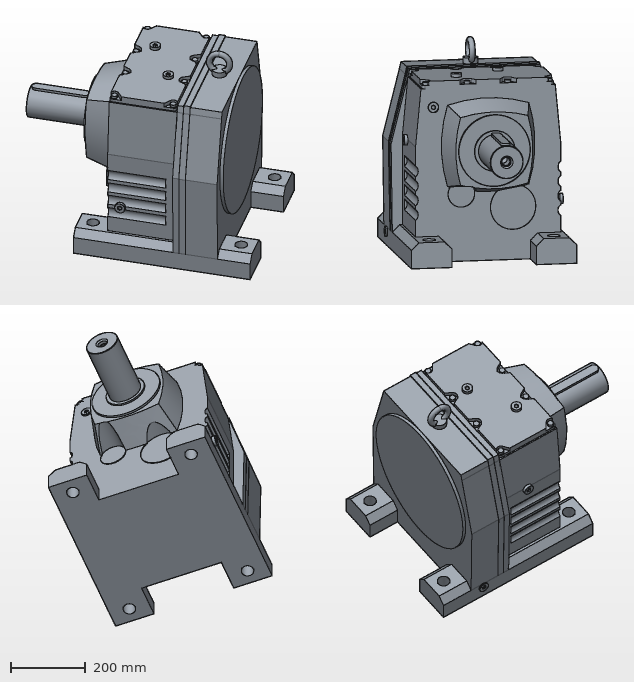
import cadquery as cq
import math


total_length = 670.0
shaft_height = 315.0

shaft_radius = 45.0
shaft_chamfer = 1.5
shaft_length = 169.5
collar_radius = 55.0
collar_length = 5.0
centre_sink_radius = 17.0
centre_sink_depth = 4.0
centre_relief_radius = 13.0
centre_relief_depth = 13.0
centre_drill_radius = 11.0
centre_drill_depth = 50.0
centre_tip_depth = 56.0
key_width = 25.0
key_length = 160.0
key_start = 5.0
key_rise = 5.5

foot_front = 180.0
foot_width = 110.5
foot_height = 70.5
foot_chamfer = 20.0
foot_outer_side = 225.0
foot_hole_diameter = 33.5
foot_hole_inset = 39.5

case_front = 268.0
case_half_width = 197.5
shoulder_height = 472.5
shoulder_half_width = 183.0
top_half_width = 178.0

flange_front = 456.0
flange_rear = 579.5
flange_knee_height = 291.0
flange_knee_half_width = 228.5
flange_top = 491.0
band_start = 474.0
band_width = 18.0
band_side_step = 1.0
band_top_step = 3.5
rear_disc_thickness = 9.5

cover_top = 492.5
cover_gap = 4.0
cover_half_width = 179.0
cover_corner_radius = 7.0
pocket_depth = 11.5
side_pocket_radius = 14.0
corner_pocket_radius = 11.5
pocket_mouth_half = 22.0
screw_inset = 11.0
screw_row = 55.0
screw_radius = 8.0
screw_height = 7.5

boss_front = foot_front
boss_root_corner = 110.5
boss_root_bulge = 127.0
boss_face_corner = 92.0
boss_face_bulge = 104.5
boss_disc_radius = 97.0
boss_disc_thickness = boss_front - shaft_length - collar_length

cap_thickness = 2.0
bearing_caps = [(73.0, 183.5, 36.0), (-68.0, 144.0, 61.5)]

groove_count = 4
groove_pitch = 39.5
groove_width = 29.0
groove_depth = 7.5
groove_end = 429.0
lowest_groove = 130.0

plug_radius = 14.0
plug_socket_width = 12.0
plug_socket_depth = 3.5
plug_height = 9.0
face_plug_height = 4.0
flange_plug_height = 4.0
side_plug_gap = 3.0
side_plug_places = [(378.0, shaft_height, 1), (304.0, 155.0, -1)]

eye_x = 524.0
eye_ring_radius = 28.0
eye_tube_radius = 8.0
eye_height = 526.0
eye_base_radius = 20.0
eye_base_height = 16.0


def mirrored_prism(half_outline, x_start, x_end):
    """Extrude along X the closed outline made of (y, z) points and their mirror."""
    outline = half_outline + [(-y, z) for y, z in reversed(half_outline)]
    return cq.Workplane("YZ", origin=(x_start, 0, 0)).polyline(outline).close().extrude(x_end - x_start)


def disc_along_x(x_start, x_end, y, z, radius):
    return cq.Workplane("YZ", origin=(x_start, y, z)).circle(radius).extrude(x_end - x_start)


def foot(side):
    length = total_length - foot_front
    middle_y = side * (foot_outer_side - foot_width / 2)
    block = (
        cq.Workplane("XY", origin=(foot_front + length / 2, middle_y, 0))
        .box(length, foot_width, foot_height, centered=(True, True, False))
        .edges("|X and >Z").chamfer(foot_chamfer)
    )
    holes = (
        cq.Workplane("XY", origin=(foot_front + length / 2, middle_y, 0))
        .rarray(length - 2 * foot_hole_inset, 7, 2, 1)
        .circle(foot_hole_diameter / 2).extrude(foot_height)
    )
    return block.cut(holes)


def gear_case():
    return mirrored_prism(
        [(case_half_width, 0), (case_half_width, shaft_height), (shoulder_half_width, shoulder_height)],
        case_front, flange_front,
    )


def cooling_grooves(side):
    """Grooves of circular-arc section, open at the front of the case."""
    half = groove_width / 2
    radius = (half ** 2 + groove_depth ** 2) / (2 * groove_depth)
    axis_y = side * (case_half_width - groove_depth + radius)
    grooves = cq.Workplane("XY")
    for i in range(groove_count):
        z = lowest_groove + i * groove_pitch
        grooves = grooves.union(disc_along_x(case_front, groove_end, axis_y, z, radius))
    return grooves


def flange_section(x_start, x_end, side_step, top_step):
    return mirrored_prism(
        [
            (foot_outer_side, 0),
            (foot_outer_side, foot_height - foot_chamfer),
            (flange_knee_half_width + side_step, flange_knee_height),
            (shoulder_half_width + side_step, shoulder_height),
            (top_half_width + side_step, flange_top + top_step),
        ],
        x_start, x_end,
    )


def rear_flange():
    plate = flange_section(flange_front, flange_rear, 0, 0)
    band = flange_section(band_start, band_start + band_width, band_side_step, band_top_step)
    disc = disc_along_x(
        flange_rear, flange_rear + rear_disc_thickness,
        0, flange_knee_height, flange_top - flange_knee_height,
    )
    return plate.union(band).union(disc)


def pocket_outline(mouth_distance, radius):
    """Teardrop around the origin: round at the screw, flaring to a mouth on the -X side."""
    reach = math.hypot(mouth_distance, pocket_mouth_half)
    touch_angle = math.atan2(pocket_mouth_half, -mouth_distance) - math.acos(radius / reach)
    touch_x = radius * math.cos(touch_angle)
    touch_y = radius * math.sin(touch_angle)
    return (
        cq.Workplane("XY")
        .moveTo(-mouth_distance, -pocket_mouth_half)
        .lineTo(touch_x, -touch_y)
        .threePointArc((radius, 0), (touch_x, touch_y))
        .lineTo(-mouth_distance, pocket_mouth_half)
        .close()
    )


def screw_pocket(x, y, mouth_direction, radius):
    """Pocket whose mouth points along mouth_direction, an angle in degrees from +X."""
    return (
        pocket_outline(screw_inset, radius).extrude(pocket_depth)
        .rotate((0, 0, 0), (0, 0, 1), mouth_direction - 180)
        .translate((x, y, cover_top - pocket_depth))
    )


def top_cover():
    cover_length = flange_front - cover_gap - case_front
    cover = (
        cq.Workplane("XY", origin=(case_front, 0, shoulder_height))
        .box(cover_length, 2 * cover_half_width, cover_top - shoulder_height, centered=(False, True, False))
        .edges("|Z").fillet(cover_corner_radius)
    )
    front_x = case_front + screw_inset
    rear_x = case_front + cover_length - screw_inset
    corner_y = cover_half_width - screw_inset

    for x, mouth_direction in ((front_x, 180), (rear_x, 0)):
        for side in (-1, 1):
            cover = cover.cut(screw_pocket(x, side * screw_row, mouth_direction, side_pocket_radius))
            cover = cover.cut(screw_pocket(x, side * corner_y, side * 90, corner_pocket_radius))

    screw_places = [(x, y) for x in (front_x, rear_x) for y in (-corner_y, -screw_row, screw_row, corner_y)]
    screws = (
        cq.Workplane("XY", origin=(0, 0, cover_top - pocket_depth))
        .pushPoints(screw_places).circle(screw_radius).extrude(screw_height)
    )
    return cover.union(screws)


def bulged_square(workplane, corner, bulge):
    """Square with corners at +-corner whose sides bow out to +-bulge."""
    return (
        workplane.moveTo(-corner, -corner)
        .threePointArc((0, -bulge), (corner, -corner))
        .threePointArc((bulge, 0), (corner, corner))
        .threePointArc((0, bulge), (-corner, corner))
        .threePointArc((-bulge, 0), (-corner, -corner))
        .close()
    )


def shaft_boss():
    face = cq.Workplane("YZ", origin=(boss_front, 0, shaft_height))
    root = bulged_square(face, boss_face_corner, boss_face_bulge).workplane(offset=case_front - boss_front)
    boss = bulged_square(root, boss_root_corner, boss_root_bulge).loft(ruled=True)
    disc = disc_along_x(boss_front - boss_disc_thickness, boss_front, 0, shaft_height, boss_disc_radius)
    boss = boss.union(disc)
    for y, z, radius in bearing_caps:
        boss = boss.cut(disc_along_x(boss_front, case_front, y, z, radius))
        boss = boss.union(disc_along_x(case_front - cap_thickness, case_front, y, z, radius))
    return boss


def plug(seat, direction, height):
    """Round plug with a hexagon socket, standing on seat and pointing along direction."""
    base = cq.Workplane(cq.Plane(origin=seat, normal=direction))
    head = base.circle(plug_radius).extrude(height)
    socket = base.workplane(offset=height - plug_socket_depth).polygon(6, plug_socket_width)
    return head.cut(socket.extrude(plug_socket_depth))


def fixed_plugs():
    """Plugs seated on the cover, on the front of the case and on the left side of the flange."""
    return [
        plug((325.0, 76.0, cover_top), (0, 0, 1), plug_height),
        plug((396.0, -51.0, cover_top), (0, 0, 1), plug_height),
        plug((case_front, 149.5, 421.5), (-1, 0, 0), face_plug_height),
        plug((539.5, foot_outer_side, 37.5), (0, 1, 0), flange_plug_height),
    ]


def lifting_eye():
    base = (
        cq.Workplane("XY", origin=(eye_x, 0, flange_top))
        .circle(eye_base_radius).extrude(eye_base_height)
    )
    ring = cq.Solid.makeTorus(
        eye_ring_radius, eye_tube_radius, cq.Vector(eye_x, 0, eye_height), cq.Vector(0, 1, 0)
    )
    return base.union(cq.Workplane(ring))


def key():
    """Round-ended key lying along the top of the shaft, its lower part sunk into the shaft."""
    return (
        cq.Workplane("XY", origin=(key_start + key_length / 2, 0, shaft_height))
        .slot2D(key_length, key_width).extrude(shaft_radius + key_rise)
    )


def centre_hole():
    """Centre hole in the shaft end: countersink, thread relief and drill point."""
    return (
        cq.Workplane("XZ", origin=(0, 0, shaft_height))
        .polyline([
            (0, 0),
            (0, centre_sink_radius),
            (centre_sink_depth, centre_relief_radius),
            (centre_relief_depth, centre_relief_radius),
            (centre_relief_depth, centre_drill_radius),
            (centre_drill_depth, centre_drill_radius),
            (centre_tip_depth, 0),
        ])
        .close().revolve(360, (0, 0), (1, 0))
    )


def output_shaft():
    shaft = disc_along_x(0, shaft_length, 0, shaft_height, shaft_radius).faces("<X").chamfer(shaft_chamfer)
    collar = disc_along_x(shaft_length, shaft_length + collar_length, 0, shaft_height, collar_radius)
    return shaft.union(collar).union(key()).cut(centre_hole())


def make_gear_unit():
    case = gear_case()
    for side in (-1, 1):
        case = case.cut(cooling_grooves(side))
    unit = case.union(rear_flange()).union(top_cover()).union(lifting_eye())
    unit = unit.union(shaft_boss()).union(output_shaft())
    for side in (-1, 1):
        unit = unit.union(foot(side))
    for each_plug in fixed_plugs():
        unit = unit.union(each_plug)
    return unit


def make_side_plug(x, z, side):
    """Loose plug beside the case, separated from its wall by a narrow gap."""
    seat_y = side * (case_half_width + side_plug_gap)
    return plug((x, seat_y, z), (0, side, 0), plug_height)


gear_unit = make_gear_unit()
side_plugs = [make_side_plug(x, z, side) for x, z, side in side_plug_places]

result = cq.Compound.makeCompound([gear_unit.solids().val(), *[body.val() for body in side_plugs]])